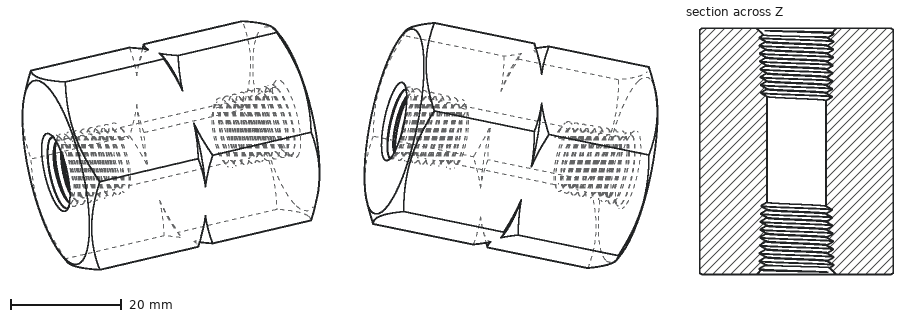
import cadquery as cq
import math

across_flats = 34.95
length = 44.45
across_corners = across_flats / math.cos(math.radians(30))

cone_slope = math.tan(math.radians(30))
face_radius = 17.02
ring_bottom_radius = 17.8

bore_radius = 5.3
mouth_radius = 5.7
taper = 1 / 32
thread_length = (mouth_radius - bore_radius) / taper
thread_depth = 1.05
flank_slope = math.tan(math.radians(30))
pitch = 1.42
root_flat = 0.055
thread_phase = -15.0
countersink_radius = 7.2

clear_radius = across_corners / 2 + 0.45
overlap = 0.05


def ring_cutter(profile):
    """Revolve (radius, height) points about the nut axis."""
    return cq.Workplane("XZ").polyline(profile).close().revolve(360, (0, 0, 0), (0, 1, 0))


def end_cone():
    """Material outside the cone that bevels the corners at the top end."""
    drop = (clear_radius - face_radius) * cone_slope
    return ring_cutter([
        (face_radius, length / 2),
        (clear_radius, length / 2),
        (clear_radius, length / 2 - drop),
    ])


def corner_ring():
    """V ring that notches the six corners at mid-length."""
    half_width = (clear_radius - ring_bottom_radius) * cone_slope
    return ring_cutter([
        (ring_bottom_radius, 0),
        (clear_radius, half_width),
        (clear_radius, -half_width),
    ])


def countersink():
    """90 degree countersink at the top end."""
    return ring_cutter([
        (0, length / 2),
        (countersink_radius, length / 2),
        (0, length / 2 - countersink_radius),
    ])


def tapered_bore():
    """Conical hole at the top end that the thread is cut into."""
    floor = length / 2 - thread_length
    return ring_cutter([
        (0, length / 2),
        (mouth_radius, length / 2),
        (bore_radius, floor),
        (0, floor),
    ])


def thread_groove():
    """Tapered helical groove at the top end, closed from four helicoid strips and two end caps."""
    inner_radius = bore_radius - overlap
    root_radius = bore_radius + thread_depth
    half_root = root_flat / 2
    half_mouth = half_root + (root_radius - inner_radius) * flank_slope
    base = length / 2 - thread_length
    section = [
        (inner_radius, -half_mouth),
        (root_radius, -half_root),
        (root_radius, half_root),
        (inner_radius, half_mouth),
    ]
    taper_angle = math.degrees(math.atan(taper))
    edges = [
        cq.Wire.makeHelix(
            pitch,
            thread_length + pitch,
            radius,
            center=cq.Vector(0, 0, base + height),
            angle=taper_angle,
        )
        for radius, height in section
    ]
    faces = [cq.Face.makeRuledSurface(edges[i - 1], edges[i]) for i in range(len(edges))]
    for corners in ([edge.startPoint() for edge in edges], [edge.endPoint() for edge in edges]):
        faces.append(cq.Face.makeFromWires(cq.Wire.makePolygon(corners, close=True)))
    groove = cq.Solid.makeSolid(cq.Shell.makeShell(faces))
    return cq.Workplane(obj=groove.rotate(cq.Vector(0, 0, 0), cq.Vector(0, 0, 1), thread_phase))


nut = cq.Workplane("XY").polygon(6, across_corners).extrude(length / 2, both=True)
nut = nut.cut(corner_ring())
nut = nut.cut(cq.Workplane("XY").circle(bore_radius).extrude(length / 2, both=True))

for end_cutter in (end_cone(), tapered_bore(), thread_groove(), countersink()):
    nut = nut.cut(end_cutter)
    nut = nut.cut(end_cutter.rotate((0, 0, 0), (1, 0, 0), 180))

result = nut.rotate((0, 0, 0), (0, 0, 1), 90).rotate((0, 0, 0), (1, 0, 0), 90)